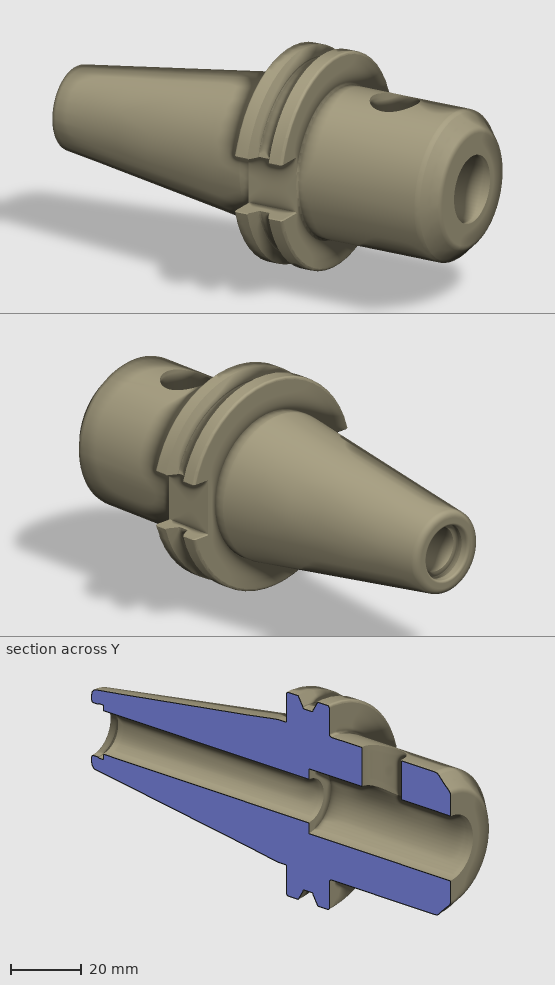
import cadquery as cq
import math

GAUGE_DIAMETER = 44.45
TAPER_RATIO = 7 / 24
TAPER_LENGTH = 68.25
SMALL_END_DIAMETER = GAUGE_DIAMETER - TAPER_RATIO * TAPER_LENGTH
SMALL_END_FILLET = 2.0

FLANGE_DIAMETER = 63.5
FLANGE_START = 3.18
FLANGE_END = 19.05
FLANGE_CENTRE = (FLANGE_START + FLANGE_END) / 2
FLANGE_FILLET = 0.8

GROOVE_FLOOR_DIAMETER = 56.4
GROOVE_WIDTH = 3.6
GROOVE_CORNER_RADIUS = 0.4
GROOVE_MOUTH_WIDTH = 7.1
GROOVE_WALL_ANGLE = 30
GROOVE_SLOPE_RUN = (GROOVE_MOUTH_WIDTH - GROOVE_WIDTH) / 2
GROOVE_SLOPE_DEPTH = GROOVE_SLOPE_RUN / math.tan(math.radians(GROOVE_WALL_ANGLE))

SLOT_WIDTH = 16.3
SLOT_FLOOR_PLUS_Y = 25.0
SLOT_FLOOR_MINUS_Y = 22.6
SLOT_EDGE_CHAMFER = 0.3

NOSE_END = 63.5
NOSE_CHAMFER = 5.0
NOSE_CHAMFER_BLEND = 2.0
NOSE_ROOT_FILLET = 0.7

BORE_DIAMETER = 20.0
BORE_DEPTH = 52.0
SCREW_HOLE_DIAMETER = 14.35
SCREW_HOLE_X = 38.1

PILOT_DIAMETER = 16.3
PILOT_DEPTH = 2.6
PILOT_MOUTH_FILLET = 0.75
RELIEF_DIAMETER = 16.8
RELIEF_END_DEPTH = 4.4
RELIEF_CORNER_RADIUS = (RELIEF_DIAMETER - PILOT_DIAMETER) / 2
DRAWBAR_HOLE_DIAMETER = 13.39

TOLERANCE = 1e-3


def cylinder_along_x(diameter, start, end):
    return cq.Workplane("YZ", origin=(start, 0, 0)).circle(diameter / 2).extrude(end - start)


def revolve_about_x(outline):
    return outline.close().revolve(360, (0, 0, 0), (1, 0, 0))


def make_shank():
    outline = (
        cq.Workplane("XY")
        .moveTo(-TAPER_LENGTH, 0)
        .lineTo(-TAPER_LENGTH, SMALL_END_DIAMETER / 2)
        .lineTo(0, GAUGE_DIAMETER / 2)
        .lineTo(FLANGE_CENTRE, GAUGE_DIAMETER / 2)
        .lineTo(FLANGE_CENTRE, 0)
    )
    return revolve_about_x(outline).faces("<X").edges().fillet(SMALL_END_FILLET)


def make_nose():
    nose = cylinder_along_x(GAUGE_DIAMETER, FLANGE_CENTRE, NOSE_END)
    nose = nose.faces(">X").edges().chamfer(NOSE_CHAMFER)
    return nose.faces("%CONE").edges("%CIRCLE").fillet(NOSE_CHAMFER_BLEND)


def make_slot(side, floor):
    """Drive slot on the side (+1 or -1) of Y, cut in to the given distance from the axis."""
    length = FLANGE_END - FLANGE_START
    depth = FLANGE_DIAMETER / 2 - floor
    centre = (FLANGE_CENTRE, side * (floor + depth / 2), 0)
    return cq.Workplane("XY").box(length, depth, SLOT_WIDTH).translate(centre)


def is_slot_rim(edge):
    """True for the outer edges of the slot walls, leaving out those on the slot floors."""
    box = edge.BoundingBox()
    on_wall = abs(box.zmax - box.zmin) < TOLERANCE and abs(abs(box.zmax) - SLOT_WIDTH / 2) < TOLERANCE
    floor = SLOT_FLOOR_PLUS_Y if box.center.y > 0 else SLOT_FLOOR_MINUS_Y
    return on_wall and max(abs(box.ymin), abs(box.ymax)) > floor + TOLERANCE


def make_gripper_groove():
    """Ring with V-shaped upper walls, straight lower walls and rounded floor corners."""
    floor = GROOVE_FLOOR_DIAMETER / 2
    rim = FLANGE_DIAMETER / 2
    slope_foot = rim - GROOVE_SLOPE_DEPTH
    groove = (
        cq.Workplane("XY")
        .moveTo(FLANGE_CENTRE - GROOVE_WIDTH / 2, floor)
        .lineTo(FLANGE_CENTRE - GROOVE_WIDTH / 2, slope_foot)
        .lineTo(FLANGE_CENTRE - GROOVE_MOUTH_WIDTH / 2, rim)
        .lineTo(FLANGE_CENTRE + GROOVE_MOUTH_WIDTH / 2, rim)
        .lineTo(FLANGE_CENTRE + GROOVE_WIDTH / 2, slope_foot)
        .lineTo(FLANGE_CENTRE + GROOVE_WIDTH / 2, floor)
    )
    floor_edges = cq.selectors.RadiusNthSelector(0)
    return revolve_about_x(groove).edges("%CIRCLE").edges(floor_edges).fillet(GROOVE_CORNER_RADIUS)


def make_flange():
    flange = cylinder_along_x(FLANGE_DIAMETER, FLANGE_START, FLANGE_END)
    flange = flange.edges("%CIRCLE").fillet(FLANGE_FILLET)
    flange = flange.cut(make_slot(1, SLOT_FLOOR_PLUS_Y)).cut(make_slot(-1, SLOT_FLOOR_MINUS_Y))
    flange = flange.edges().filter(is_slot_rim).chamfer(SLOT_EDGE_CHAMFER)
    return flange.cut(make_gripper_groove())


def make_nose_root():
    """Disc whose rim is the concave fillet between the flange and the nose."""
    nose_radius = GAUGE_DIAMETER / 2
    outline = (
        cq.Workplane("XY")
        .moveTo(FLANGE_END, 0)
        .lineTo(FLANGE_END, nose_radius + NOSE_ROOT_FILLET)
        .radiusArc((FLANGE_END + NOSE_ROOT_FILLET, nose_radius), -NOSE_ROOT_FILLET)
        .lineTo(FLANGE_END + NOSE_ROOT_FILLET, 0)
    )
    return revolve_about_x(outline)


def make_screw_hole():
    return (
        cq.Workplane("XY", origin=(SCREW_HOLE_X, 0, 0))
        .circle(SCREW_HOLE_DIAMETER / 2)
        .extrude(GAUGE_DIAMETER / 2)
    )


def make_axial_bores():
    face = -TAPER_LENGTH
    pilot_radius = PILOT_DIAMETER / 2
    relief_radius = RELIEF_DIAMETER / 2
    relief_end = face + RELIEF_END_DEPTH
    bore_floor = NOSE_END - BORE_DEPTH
    outline = (
        cq.Workplane("XY")
        .moveTo(face, 0)
        .lineTo(face, pilot_radius + PILOT_MOUTH_FILLET)
        .radiusArc((face + PILOT_MOUTH_FILLET, pilot_radius), -PILOT_MOUTH_FILLET)
        .lineTo(face + PILOT_DEPTH, pilot_radius)
        .lineTo(face + PILOT_DEPTH, relief_radius)
        .lineTo(relief_end - RELIEF_CORNER_RADIUS, relief_radius)
        .radiusArc((relief_end, relief_radius - RELIEF_CORNER_RADIUS), RELIEF_CORNER_RADIUS)
        .lineTo(relief_end, DRAWBAR_HOLE_DIAMETER / 2)
        .lineTo(bore_floor, DRAWBAR_HOLE_DIAMETER / 2)
        .lineTo(bore_floor, BORE_DIAMETER / 2)
        .lineTo(NOSE_END, BORE_DIAMETER / 2)
        .lineTo(NOSE_END, 0)
    )
    return revolve_about_x(outline)


result = (
    make_shank()
    .union(make_nose())
    .union(make_flange())
    .union(make_nose_root())
    .cut(make_screw_hole())
    .cut(make_axial_bores())
)